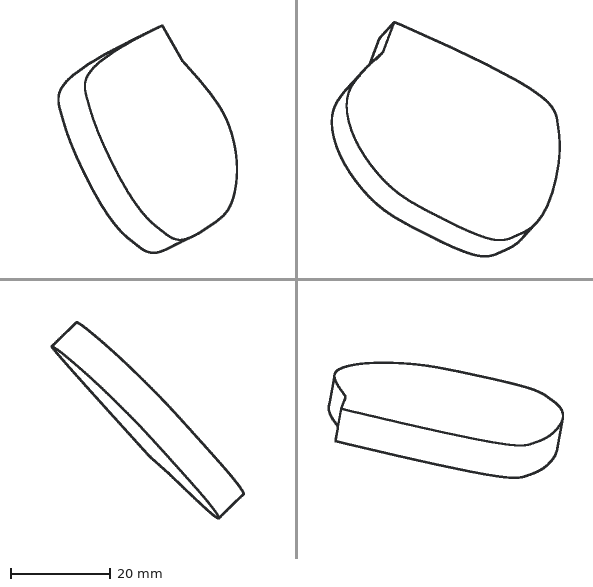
import cadquery as cq
import math

thickness = 7.0
normal_azimuth = 3.2
normal_elevation = 32.8

tab_side = 19.55
tab_tip = (tab_side, 18.05)
tab_flat_end = (18.0, 18.3)
notch_root = (tab_side, 9.85)

rim_points = [
    tab_flat_end,
    (4.65, 19.65),
    (-6.05, 20.2),
    (-13.95, 19.8),
    (-16.8, 18.9),
    (-18.5, 17.53),
    (-19.75, 15.35),
    (-20.97, 12.65),
    (-23.25, 3.05),
    (-23.53, -4.6),
    (-21.6, -11.8),
    (-19.85, -14.45),
    (-17.75, -17.0),
    (-15.8, -18.3),
    (-12.3, -19.27),
    (-1.6, -20.15),
    (6.25, -19.9),
    (13.45, -17.1),
    (20.8, -10.55),
    (23.25, -4.15),
    (22.6, 1.35),
    (20.1, 8.6),
    notch_root,
]


def tilted_plane():
    """Plane through the origin whose normal has the given azimuth and elevation."""
    azimuth = math.radians(normal_azimuth)
    elevation = math.radians(normal_elevation)
    normal = (
        math.cos(elevation) * math.cos(azimuth),
        math.cos(elevation) * math.sin(azimuth),
        math.sin(elevation),
    )
    across = (-math.sin(azimuth), math.cos(azimuth), 0)
    return cq.Plane(origin=(0, 0, 0), xDir=across, normal=normal)


result = (
    cq.Workplane(tilted_plane())
    .workplane(offset=-thickness / 2)
    .moveTo(*tab_tip)
    .lineTo(*tab_flat_end)
    .spline(rim_points[1:], includeCurrent=True)
    .close()
    .extrude(thickness)
)